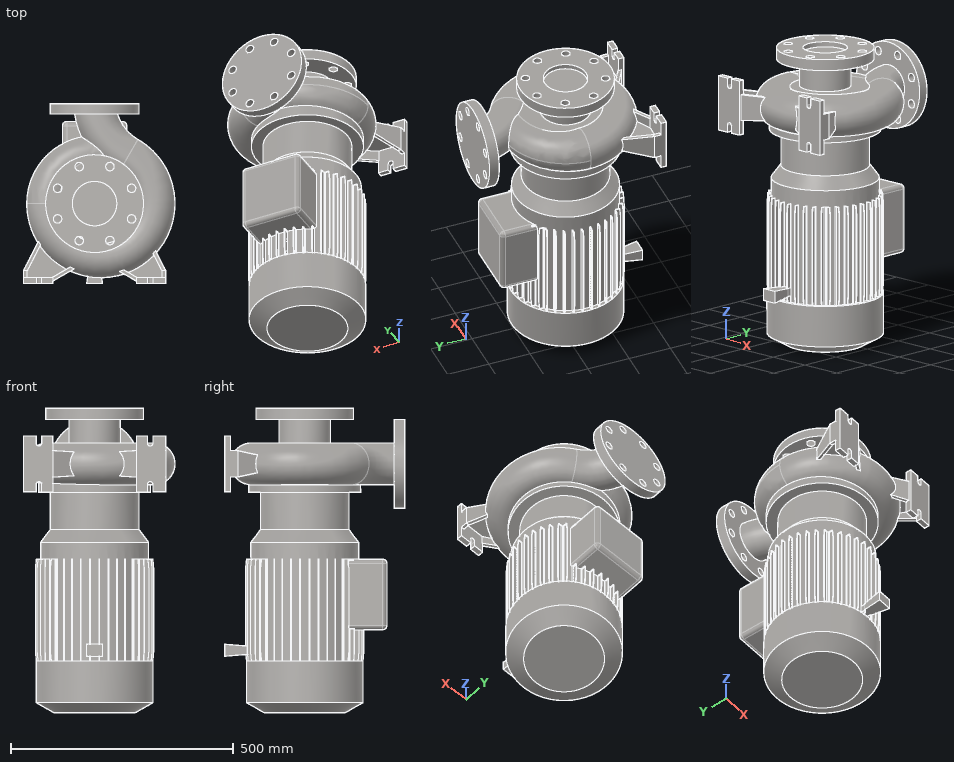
import cadquery as cq
import math


SUCTION_TOP_Z = 125.0
SUCTION_FLANGE_RADIUS = 110.0
SUCTION_FLANGE_THICKNESS = 25.5
SUCTION_BOLT_CIRCLE_RADIUS = 90.0
SUCTION_BORE_RADIUS = 50.0
SUCTION_BORE_DEPTH = 12.0
SUCTION_NECK_RADIUS = 58.0
DISCHARGE_FACE_Y = 225.0
DISCHARGE_FLANGE_RADIUS = 100.0
DISCHARGE_FLANGE_THICKNESS = 24.0
DISCHARGE_BOLT_CIRCLE_RADIUS = 80.0
BOLT_HOLE_DIAMETER = 19.0
BOLT_COUNT = 8

TUBE_RADIUS = 47.4
VOLUTE_BEND_RADIUS = 119.5
VOLUTE_CENTER_X = 14.1
ELBOW_START_ANGLE = 60.0
TAIL_END_ANGLE = 72.0
TAIL_END_TUBE_RADIUS = 37.0
TAIL_SECTION_COUNT = 5
CASING_TOP_Z = 37.0
CORE_RADIUS = 107.0

COLLAR_RADIUS = 126.0
COLLAR_BOTTOM_Z = -64.0
ADAPTER_RADIUS = 100.0
CONE_TOP_Z = -147.5
CONE_BOTTOM_Z = -176.5
MOTOR_RADIUS = 121.7
FIN_TOP_Z = -214.0
FIN_BOTTOM_Z = -443.0
COVER_RADIUS = 131.5
COVER_EDGE_Z = -537.0
COVER_END_RADIUS = 91.0
BOTTOM_Z = -560.0

FIN_TIP_RADIUS = 133.5
FIN_TIP_RADIUS_STEP = 0.8
FIN_THICKNESS = 2.0
FIN_ANGLE_PITCH = 9.0
FINS_PER_HALF_SIDE = 5
FIN_END_TAPER_LENGTH = 20.0
FIN_END_TAPER_DEPTH = 2.0
FIN_ROOT_DEPTH = 40.0

BOX_WIDTH = 145.0
BOX_HEIGHT = 159.0
BOX_FACE_Y = 185.0
BOX_FILLET = 10.0

FOOT_BASE_Y = -180.0
FOOT_OUTER_X = 160.0
FOOT_WIDTH = 66.0
FOOT_HEIGHT = 126.0
FOOT_THICKNESS = 13.5
FOOT_SLOT_WIDTH = 12.0
FOOT_SLOT_DEPTH = 23.0
FOOT_SLOT_X = 125.0
WALL_THICKNESS = 8.0
WALL_BASE_HALF_HEIGHT = 30.0
OUTER_WALL_SLOPE = 63.0
OUTER_WALL_BEND_Y = -150.5
OUTER_WALL_LENGTH = 80.0
OUTER_WALL_END_HALF_HEIGHT = 14.5
INNER_WALL_SLOPE = 30.0
INNER_WALL_LENGTH = 75.0
INNER_WALL_END_HALF_HEIGHT = 26.0
WEB_THICKNESS = 8.0

PEG_CENTER_Z = -419.0
PEG_LENGTH = 60.0
PEG_BASE_SIZE = (36.0, 27.5)
PEG_TIP_SIZE = (20.0, 18.0)


def bent_tube(center_x, center_y, bend_radius, start_angle, sweep_angle):
    """Round tube bent counter-clockwise about a vertical axis, in the plane Z = 0."""
    angle = math.radians(start_angle)
    plane = cq.Plane(
        origin=(center_x, center_y, 0),
        xDir=(math.cos(angle), math.sin(angle), 0),
        normal=(math.sin(angle), -math.cos(angle), 0),
    )
    section = cq.Workplane(plane).center(bend_radius, 0).circle(TUBE_RADIUS)
    return section.revolve(sweep_angle, (-bend_radius, 0), (-bend_radius, 1))


def bolted_flange(plane, radius, thickness, bolt_circle_radius):
    """Disc on the given face plane, growing against its normal, with through bolt holes."""
    disc = cq.Workplane(plane).circle(radius).extrude(-thickness)
    half_pitch = 180 / BOLT_COUNT
    holes = (
        cq.Workplane(plane)
        .polarArray(bolt_circle_radius, half_pitch, 360, BOLT_COUNT)
        .circle(BOLT_HOLE_DIAMETER / 2)
        .extrude(-thickness)
    )
    return disc.cut(holes)


def make_suction():
    plane = cq.Plane(origin=(0, 0, SUCTION_TOP_Z))
    flange = bolted_flange(
        plane, SUCTION_FLANGE_RADIUS, SUCTION_FLANGE_THICKNESS, SUCTION_BOLT_CIRCLE_RADIUS
    )
    bore = cq.Workplane(plane).circle(SUCTION_BORE_RADIUS).extrude(-SUCTION_BORE_DEPTH)
    neck_length = SUCTION_TOP_Z - SUCTION_FLANGE_THICKNESS
    neck = cq.Workplane().circle(SUCTION_NECK_RADIUS).extrude(neck_length)
    return flange.cut(bore).union(neck)


def make_volute_tail():
    """Narrowing end of the volute, keeping its outer edge on a circle about the pump axis."""
    outer_radius = VOLUTE_BEND_RADIUS + TUBE_RADIUS - VOLUTE_CENTER_X
    sections = []
    for index in range(TAIL_SECTION_COUNT):
        fraction = index / (TAIL_SECTION_COUNT - 1)
        tube_radius = TUBE_RADIUS + (TAIL_END_TUBE_RADIUS - TUBE_RADIUS) * fraction
        angle = math.radians(180 + (TAIL_END_ANGLE - 180) * fraction)
        center_radius = outer_radius - tube_radius
        center = cq.Vector(center_radius * math.cos(angle), center_radius * math.sin(angle), 0)
        tangent = cq.Vector(math.sin(angle), -math.cos(angle), 0)
        sections.append(cq.Wire.makeCircle(tube_radius, center, tangent))
    return cq.Workplane(cq.Solid.makeLoft(sections))


def make_volute():
    """Spiral tube of three bends, its flat-topped core and the discharge flange."""
    main_bend = bent_tube(VOLUTE_CENTER_X, 0, VOLUTE_BEND_RADIUS, 180, 180 + ELBOW_START_ANGLE)

    start = math.radians(ELBOW_START_ANGLE)
    elbow_radius = (VOLUTE_CENTER_X + VOLUTE_BEND_RADIUS * math.cos(start)) / (1 - math.cos(start))
    center_distance = VOLUTE_BEND_RADIUS + elbow_radius
    elbow_x = VOLUTE_CENTER_X + center_distance * math.cos(start)
    elbow_y = center_distance * math.sin(start)
    flange_middle_y = DISCHARGE_FACE_Y - DISCHARGE_FLANGE_THICKNESS / 2
    unused_angle = math.degrees(math.asin((elbow_y - flange_middle_y) / elbow_radius))
    elbow = bent_tube(
        elbow_x, elbow_y, elbow_radius, 180 + unused_angle, ELBOW_START_ANGLE - unused_angle
    )

    core = (
        cq.Workplane(origin=(VOLUTE_CENTER_X, 0, -CASING_TOP_Z))
        .circle(CORE_RADIUS)
        .extrude(2 * CASING_TOP_Z)
    )
    face = cq.Plane(origin=(0, DISCHARGE_FACE_Y, 0), xDir=(1, 0, 0), normal=(0, 1, 0))
    flange = bolted_flange(
        face, DISCHARGE_FLANGE_RADIUS, DISCHARGE_FLANGE_THICKNESS, DISCHARGE_BOLT_CIRCLE_RADIUS
    )
    return core.union(main_bend).union(make_volute_tail()).union(elbow).union(flange)


def make_motor_body():
    """Turned body from the collar under the volute down to the fan cover."""
    profile = [
        (0, 0),
        (COLLAR_RADIUS, 0),
        (COLLAR_RADIUS, COLLAR_BOTTOM_Z),
        (ADAPTER_RADIUS, COLLAR_BOTTOM_Z),
        (ADAPTER_RADIUS, CONE_TOP_Z),
        (MOTOR_RADIUS, CONE_BOTTOM_Z),
        (MOTOR_RADIUS, FIN_BOTTOM_Z),
        (COVER_RADIUS, FIN_BOTTOM_Z),
        (COVER_RADIUS, COVER_EDGE_Z),
        (COVER_END_RADIUS, BOTTOM_Z),
        (0, BOTTOM_Z),
    ]
    return cq.Workplane("XZ").polyline(profile).close().revolve(360, (0, 0), (0, 1))


def make_fin(angle_step):
    """Fin pointing along +X, offset in Y by the given number of angle steps from the axis."""
    angle = math.radians(angle_step * FIN_ANGLE_PITCH)
    tip_radius = FIN_TIP_RADIUS - FIN_TIP_RADIUS_STEP * (abs(angle_step) - 0.5)
    tip_x = tip_radius * math.cos(angle)
    offset_y = tip_radius * math.sin(angle)
    root_x = MOTOR_RADIUS * math.cos(angle) - FIN_ROOT_DEPTH
    end_x = tip_x - FIN_END_TAPER_DEPTH
    outline = [
        (root_x, FIN_BOTTOM_Z),
        (end_x, FIN_BOTTOM_Z),
        (tip_x, FIN_BOTTOM_Z + FIN_END_TAPER_LENGTH),
        (tip_x, FIN_TOP_Z - FIN_END_TAPER_LENGTH),
        (end_x, FIN_TOP_Z),
        (root_x, FIN_TOP_Z),
    ]
    plane = cq.Workplane("XZ", origin=(0, offset_y, 0))
    return plane.polyline(outline).close().extrude(FIN_THICKNESS / 2, both=True)


def make_fins():
    """Four groups of parallel fins, one group on each side, slightly shorter towards the corners."""
    fins = cq.Workplane()
    for side in range(4):
        for index in range(-FINS_PER_HALF_SIDE, FINS_PER_HALF_SIDE):
            fins = fins.add(make_fin(index + 0.5).rotate((0, 0, 0), (0, 0, 1), 90 * side))
    return fins.combine()


def make_terminal_box():
    box = cq.Workplane().box(BOX_WIDTH, BOX_FACE_Y, BOX_HEIGHT, centered=(True, False, False))
    box = box.edges("|Y").fillet(BOX_FILLET).faces(">Y").edges().fillet(BOX_FILLET)
    return box.translate((0, 0, FIN_TOP_Z - BOX_HEIGHT))


def tapered_wall(start, slope, length, end_half_height, side):
    """Upright wall leaving the start point at a slope in XY, getting lower along its length.

    The thickness lies to the left (side = 1) or right (side = -1) of its direction.
    """
    angle = math.radians(slope)
    plane = cq.Plane(
        origin=(start[0], start[1], 0),
        xDir=(math.cos(angle), math.sin(angle), 0),
        normal=(math.sin(angle), -math.cos(angle), 0),
    )
    outline = [
        (0, -WALL_BASE_HALF_HEIGHT),
        (length, -end_half_height),
        (length, end_half_height),
        (0, WALL_BASE_HALF_HEIGHT),
    ]
    return cq.Workplane(plane).polyline(outline).close().extrude(-side * WALL_THICKNESS)


def make_left_foot():
    """Slotted base plate joined to the volute by two diverging walls and a web."""
    plate_top_y = FOOT_BASE_Y + FOOT_THICKNESS
    inner_x = FOOT_WIDTH - FOOT_OUTER_X
    plate = (
        cq.Workplane()
        .box(FOOT_WIDTH, FOOT_THICKNESS, FOOT_HEIGHT, centered=(False, False, True))
        .translate((-FOOT_OUTER_X, FOOT_BASE_Y, 0))
    )
    slot_reach = 2 * FOOT_SLOT_DEPTH
    for end in (-1, 1):
        slot = (
            cq.Workplane("XZ", origin=(-FOOT_SLOT_X, plate_top_y, end * FOOT_HEIGHT / 2))
            .slot2D(slot_reach, FOOT_SLOT_WIDTH, 90)
            .extrude(FOOT_THICKNESS)
        )
        plate = plate.cut(slot)

    upright = (
        cq.Workplane()
        .box(
            WALL_THICKNESS,
            OUTER_WALL_BEND_Y - FOOT_BASE_Y,
            2 * WALL_BASE_HALF_HEIGHT,
            centered=(False, False, True),
        )
        .translate((-FOOT_OUTER_X, FOOT_BASE_Y, 0))
    )
    outer_start = (-FOOT_OUTER_X, OUTER_WALL_BEND_Y)
    outer_wall = tapered_wall(
        outer_start, OUTER_WALL_SLOPE, OUTER_WALL_LENGTH, OUTER_WALL_END_HALF_HEIGHT, -1
    )
    inner_start = (inner_x, plate_top_y - WALL_THICKNESS)
    inner_wall = tapered_wall(
        inner_start, INNER_WALL_SLOPE, INNER_WALL_LENGTH, INNER_WALL_END_HALF_HEIGHT, 1
    )

    outer_angle = math.radians(OUTER_WALL_SLOPE)
    inner_angle = math.radians(INNER_WALL_SLOPE)
    outer_end = (
        outer_start[0] + OUTER_WALL_LENGTH * math.cos(outer_angle),
        outer_start[1] + OUTER_WALL_LENGTH * math.sin(outer_angle),
    )
    inner_end = (
        inner_start[0] + INNER_WALL_LENGTH * math.cos(inner_angle),
        inner_start[1] + INNER_WALL_LENGTH * math.sin(inner_angle),
    )
    web = (
        cq.Workplane(origin=(0, 0, -WEB_THICKNESS / 2))
        .polyline([
            (-FOOT_OUTER_X, plate_top_y),
            outer_start,
            outer_end,
            inner_end,
            inner_start,
            (inner_x, plate_top_y),
        ])
        .close()
        .extrude(WEB_THICKNESS)
    )
    return plate.union(upright).union(outer_wall).union(inner_wall).union(web)


def make_peg():
    """Rectangular peg that widens from the motor to its standing face."""
    return (
        cq.Workplane("XZ", origin=(0, FOOT_BASE_Y, PEG_CENTER_Z))
        .rect(*PEG_BASE_SIZE)
        .workplane(offset=-PEG_LENGTH)
        .rect(*PEG_TIP_SIZE)
        .loft()
    )


left_foot = make_left_foot()
right_foot = left_foot.mirror("YZ")

result = (
    make_motor_body()
    .union(make_fins())
    .union(make_terminal_box())
    .union(make_peg())
    .union(make_volute())
    .union(make_suction())
    .union(left_foot)
    .union(right_foot)
)